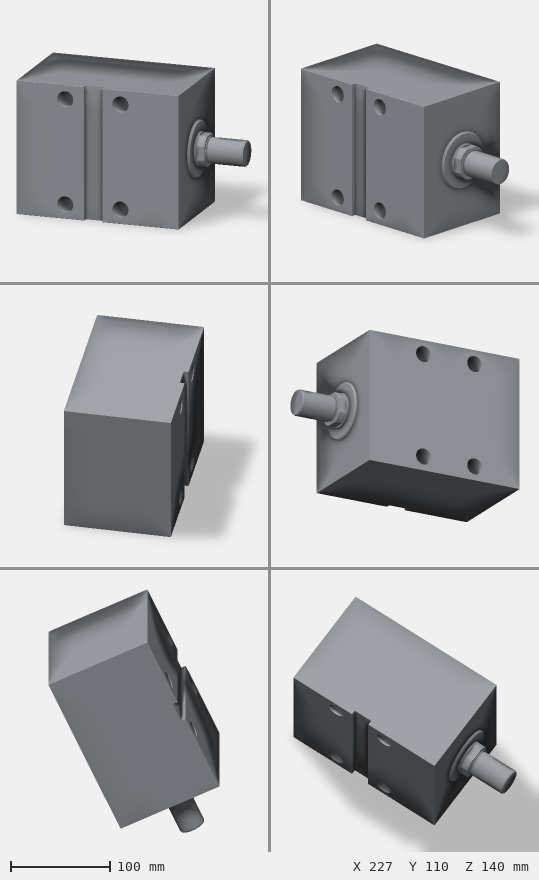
import cadquery as cq

OVERALL_LENGTH = 227.0
HOUSING_LENGTH = 173.2
HOUSING_DEPTH = 110.0
HOUSING_HEIGHT = 140.0

FRONT_EDGE_CHAMFER = 0.2
KEYWAY_START = 72.0
KEYWAY_WIDTH = 20.0
KEYWAY_DEPTH = 5.0
BOLT_HOLE_DIAMETER = 17.0
BOLT_HOLE_FIRST_X = 52.0
BOLT_HOLE_PITCH_X = 59.0
BOLT_HOLE_PITCH_Z = 110.0

GLAND_DIAMETER = 60.0
GLAND_THICKNESS = 2.7
GLAND_CHAMFER = 1.4

COLLAR_DIAMETER = 36.5
COLLAR_LENGTH = 2.7
COLLAR_CHAMFER = 0.7
WRENCH_DIAMETER = 35.5
WRENCH_FLAT_WIDTH = 32.2
WRENCH_LENGTH = 8.5
WRENCH_CHAMFER = 0.7
SHOULDER_DIAMETER = 28.4
SHOULDER_LENGTH = 0.7

NECK_DIAMETER = 25.7
NECK_LENGTH = 1.5
STUD_DIAMETER = 27.0
STUD_CHAMFER_LENGTH = 1.4
STUD_CHAMFER_DEPTH = 0.7

FRONT_Y = -HOUSING_DEPTH / 2
COLLAR_START = HOUSING_LENGTH + GLAND_THICKNESS
WRENCH_START = COLLAR_START + COLLAR_LENGTH
SHOULDER_START = WRENCH_START + WRENCH_LENGTH
STUD_START = SHOULDER_START + SHOULDER_LENGTH


def cylinder_along_x(diameter, start, end):
    return cq.Workplane("YZ", origin=(start, 0, 0)).circle(diameter / 2).extrude(end - start)


def make_housing():
    block = cq.Workplane("XY").box(
        HOUSING_LENGTH, HOUSING_DEPTH, HOUSING_HEIGHT, centered=(False, True, True)
    )
    block = block.faces("<Y").edges("|X").chamfer(FRONT_EDGE_CHAMFER)

    keyway = (
        cq.Workplane("XY")
        .box(KEYWAY_WIDTH, KEYWAY_DEPTH, HOUSING_HEIGHT, centered=(False, False, True))
        .translate((KEYWAY_START, FRONT_Y, 0))
    )
    bolt_holes = (
        cq.Workplane("XZ", origin=(BOLT_HOLE_FIRST_X + BOLT_HOLE_PITCH_X / 2, 0, 0))
        .rarray(BOLT_HOLE_PITCH_X, BOLT_HOLE_PITCH_Z, 2, 2)
        .circle(BOLT_HOLE_DIAMETER / 2)
        .extrude(HOUSING_DEPTH / 2, both=True)
    )
    return block.cut(keyway).cut(bolt_holes)


def make_gland():
    disc = cylinder_along_x(GLAND_DIAMETER, HOUSING_LENGTH, COLLAR_START)
    disc = disc.faces(">X").edges().chamfer(GLAND_CHAMFER)
    rod_bore = cylinder_along_x(COLLAR_DIAMETER, HOUSING_LENGTH, COLLAR_START)
    return disc.cut(rod_bore)


def make_rod_end():
    collar = cylinder_along_x(COLLAR_DIAMETER, HOUSING_LENGTH, WRENCH_START)
    collar = collar.faces(">X").edges().chamfer(COLLAR_CHAMFER)

    wrench = cylinder_along_x(WRENCH_DIAMETER, WRENCH_START, SHOULDER_START)
    wrench = wrench.faces(">X").edges().chamfer(WRENCH_CHAMFER)
    flats = cq.Workplane("YZ", origin=(WRENCH_START, 0, 0)).rect(WRENCH_FLAT_WIDTH, WRENCH_FLAT_WIDTH)
    wrench = wrench.intersect(flats.extrude(WRENCH_LENGTH))

    shoulder = cylinder_along_x(SHOULDER_DIAMETER, SHOULDER_START, STUD_START)
    return collar.union(wrench).union(shoulder)


def make_stud():
    """Stud with a relieved neck and a chamfered tip, revolved about the rod axis."""
    thread_start = STUD_START + NECK_LENGTH
    neck_radius = NECK_DIAMETER / 2
    stud_radius = STUD_DIAMETER / 2
    profile = [
        (STUD_START, 0),
        (STUD_START, neck_radius),
        (thread_start, neck_radius),
        (thread_start, stud_radius),
        (OVERALL_LENGTH - STUD_CHAMFER_LENGTH, stud_radius),
        (OVERALL_LENGTH, stud_radius - STUD_CHAMFER_DEPTH),
        (OVERALL_LENGTH, 0),
    ]
    return cq.Workplane("XY").polyline(profile).close().revolve(360, (0, 0, 0), (1, 0, 0))


housing = make_housing()
gland = make_gland()
rod_end = make_rod_end()
stud = make_stud()

result = cq.Compound.makeCompound([housing.val(), gland.val(), rod_end.val(), stud.val()])